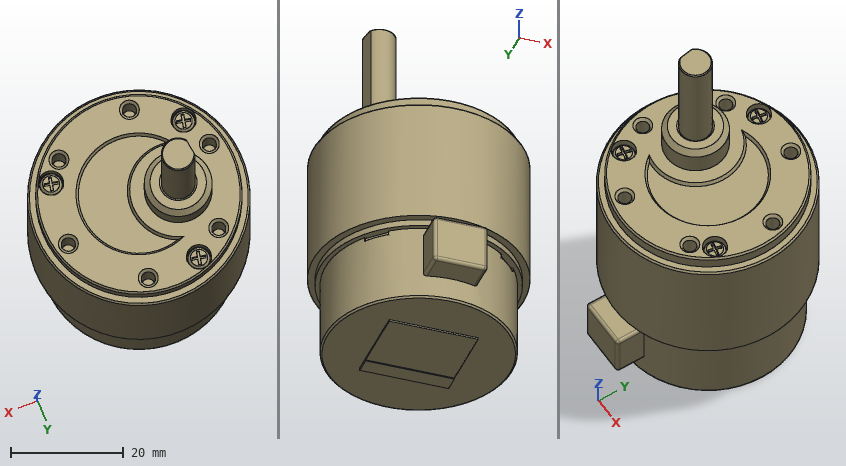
import cadquery as cq
import math


PAD_LEVEL = 0.2
CAN_BOTTOM = 0.55
FLANGE_BOTTOM = 15.5
GEARBOX_BOTTOM = 16.7
GEARBOX_TOP = 41.0
CAP_TOP = 43.45
BOSS_TOP = 48.75
FLAT_BOTTOM = 50.2
SHAFT_TOP = 68.75

CAN_DIA = 35.0
FLANGE_DIA = 36.8
GEARBOX_DIA = 39.45
CAP_DIA = 36.6
BODY_CHAMFER = 0.35

OUTPUT_OFFSET = 7.0
OUTPUT_ANGLE = 165.0
BOSS_DIA = 12.0
BOSS_CHAMFER = 1.0
BORE_CHAMFER = 0.35
SHAFT_DIA = 6.0
SHAFT_CHAMFER = 0.2
FLAT_DEPTH = 0.5
FLAT_ANGLE = 189.0

RECESS_DEPTH = 0.6
RECESS_RADIUS = 11.15
RECESS_ISLAND_RADIUS = 8.6
RECESS_SLOPE = 0.4

HOLE_COUNT = 6
HOLE_CIRCLE_RADIUS = 15.5
HOLE_START_ANGLE = 15.0
HOLE_DIA = 2.5
COUNTERSINK_DIA = 3.5
HOLE_DEPTH = 5.5

SCREW_CIRCLE_RADIUS = 15.7
SCREW_ANGLES = (111.6, 218.4, 331.5)
SCREW_POCKET_DIA = 4.4
SCREW_POCKET_DEPTH = 1.7
SCREW_HEAD_DIA = 4.0
SCREW_HEAD_CHAMFER = 0.5
SCREW_HEAD_SINK = 0.7
CROSS_LENGTH = 2.5
CROSS_WIDTH = 0.5
CROSS_DEPTH = 0.7
CROSS_ANGLE = -11.0

WINDOW_COUNT = 4
WINDOW_START_ANGLE = 45.0
WINDOW_WIDTH = 4.7
WINDOW_HEIGHT = 0.75
WINDOW_DEPTH = 0.5

CONNECTOR_WIDTH = 10.1
CONNECTOR_BOTTOM = 5.15
CONNECTOR_TOP = 14.4
CONNECTOR_FACE_Y = -22.5
CONNECTOR_ROOT_Y = -13.75
CONNECTOR_FILLET = 0.6

PAD_LEFT = -8.45
PAD_RIGHT = 8.25
PAD_FRONT = -8.25
PAD_BACK = 7.4
BAR_WIDTH = 3.1
PAD_EMBED = 0.35


def polar(radius, angle):
    """XY point at a radius and an angle in degrees."""
    return (radius * math.cos(math.radians(angle)), radius * math.sin(math.radians(angle)))


OUTPUT_CENTRE = polar(OUTPUT_OFFSET, OUTPUT_ANGLE)


def cylinder(diameter, bottom, top, centre=(0, 0)):
    plane = cq.Workplane("XY").workplane(offset=bottom)
    return plane.center(*centre).circle(diameter / 2).extrude(top - bottom)


def cone(bottom_radius, top_radius, bottom, top, centre=(0, 0)):
    solid = cq.Solid.makeCone(bottom_radius, top_radius, top - bottom, cq.Vector(*centre, bottom))
    return cq.Workplane(obj=solid)


def block(left, right, front, back, bottom, top):
    box = cq.Workplane("XY").box(right - left, back - front, top - bottom, centered=False)
    return box.translate((left, front, bottom))


def stepped_body():
    can = cylinder(CAN_DIA, CAN_BOTTOM, FLANGE_BOTTOM).faces("<Z").chamfer(BODY_CHAMFER)
    flange = cylinder(FLANGE_DIA, FLANGE_BOTTOM, GEARBOX_BOTTOM)
    gearbox = cylinder(GEARBOX_DIA, GEARBOX_BOTTOM, GEARBOX_TOP).faces(">Z").chamfer(BODY_CHAMFER)
    cap = cylinder(CAP_DIA, GEARBOX_TOP, CAP_TOP).faces(">Z").chamfer(BODY_CHAMFER)
    return can.union(flange).union(gearbox).union(cap)


def crescent_recess():
    floor = CAP_TOP - RECESS_DEPTH
    bowl = cone(RECESS_RADIUS - RECESS_SLOPE, RECESS_RADIUS, floor, CAP_TOP)
    island = cone(RECESS_ISLAND_RADIUS + RECESS_SLOPE, RECESS_ISLAND_RADIUS, floor, CAP_TOP, OUTPUT_CENTRE)
    return bowl.cut(island)


def mounting_hole(centre):
    sink_depth = (COUNTERSINK_DIA - HOLE_DIA) / 2
    drill = cylinder(HOLE_DIA, CAP_TOP - HOLE_DEPTH, CAP_TOP, centre)
    sink = cone(HOLE_DIA / 2, COUNTERSINK_DIA / 2, CAP_TOP - sink_depth, CAP_TOP, centre)
    return drill.union(sink)


def screw_cavity(centre):
    """Pocket around a screw head, leaving the head with its cross slot standing in it."""
    floor = CAP_TOP - SCREW_POCKET_DEPTH
    head_top = CAP_TOP - SCREW_HEAD_SINK
    pocket = cylinder(SCREW_POCKET_DIA, floor, CAP_TOP, centre)
    head = cylinder(SCREW_HEAD_DIA, floor, head_top, centre).faces(">Z").chamfer(SCREW_HEAD_CHAMFER)
    slot = cq.Workplane("XY").rect(CROSS_LENGTH, CROSS_WIDTH).extrude(-CROSS_DEPTH)
    for turn in (0, 90):
        arm = slot.rotate((0, 0, 0), (0, 0, 1), CROSS_ANGLE + turn)
        head = head.cut(arm.translate((*centre, head_top)))
    return pocket.cut(head)


def output_boss():
    boss = cylinder(BOSS_DIA, CAP_TOP, BOSS_TOP, OUTPUT_CENTRE).faces(">Z").chamfer(BOSS_CHAMFER)
    shaft_radius = SHAFT_DIA / 2
    mouth = cone(shaft_radius, shaft_radius + BORE_CHAMFER, BOSS_TOP - BORE_CHAMFER, BOSS_TOP, OUTPUT_CENTRE)
    return boss.cut(mouth)


def output_shaft():
    shaft = cylinder(SHAFT_DIA, CAP_TOP, SHAFT_TOP).faces(">Z").chamfer(SHAFT_CHAMFER)
    flat_distance = SHAFT_DIA / 2 - FLAT_DEPTH
    flat = block(flat_distance, SHAFT_DIA, -SHAFT_DIA, SHAFT_DIA, FLAT_BOTTOM, SHAFT_TOP)
    shaft = shaft.cut(flat.rotate((0, 0, 0), (0, 0, 1), FLAT_ANGLE))
    return shaft.translate((*OUTPUT_CENTRE, 0))


def can_window(angle):
    can_radius = CAN_DIA / 2
    window = block(
        can_radius - WINDOW_DEPTH, can_radius + WINDOW_DEPTH,
        -WINDOW_WIDTH / 2, WINDOW_WIDTH / 2,
        FLANGE_BOTTOM - WINDOW_HEIGHT, FLANGE_BOTTOM,
    )
    return window.rotate((0, 0, 0), (0, 0, 1), angle)


def connector():
    body = block(
        -CONNECTOR_WIDTH / 2, CONNECTOR_WIDTH / 2,
        CONNECTOR_FACE_Y, CONNECTOR_ROOT_Y,
        CONNECTOR_BOTTOM, CONNECTOR_TOP,
    )
    return body.edges("|Y or <Y").fillet(CONNECTOR_FILLET)


def bottom_pad():
    pad_top = CAN_BOTTOM + PAD_EMBED
    pad = block(PAD_LEFT, PAD_RIGHT, PAD_FRONT, PAD_BACK, PAD_LEVEL, pad_top)
    bar = block(PAD_LEFT, PAD_RIGHT, PAD_BACK - BAR_WIDTH, PAD_BACK, 0, pad_top)
    return pad.union(bar)


result = stepped_body().cut(crescent_recess())

for index in range(HOLE_COUNT):
    hole_angle = HOLE_START_ANGLE + index * 360 / HOLE_COUNT
    result = result.cut(mounting_hole(polar(HOLE_CIRCLE_RADIUS, hole_angle)))

for screw_angle in SCREW_ANGLES:
    result = result.cut(screw_cavity(polar(SCREW_CIRCLE_RADIUS, screw_angle)))

for index in range(WINDOW_COUNT):
    result = result.cut(can_window(WINDOW_START_ANGLE + index * 360 / WINDOW_COUNT))

result = result.union(output_boss()).union(output_shaft())
result = result.union(connector()).union(bottom_pad())